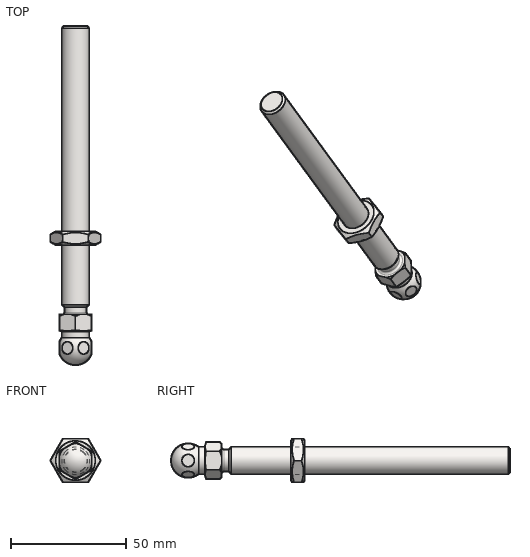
import cadquery as cq
import math


ball_radius = 7.5
wrench_size = 14.0

overall_length = 147.0
rod_radius = 12.0 / 2
groove_radius = 9.7 / 2
rod_tip_radius = 10.11 / 2
hex_start = 7.1
hex_length = 7.4
root_fillet = 1.0
runout_start = 17.6
runout_length = rod_radius - groove_radius
rod_chamfer = rod_radius - rod_tip_radius
hex_end = hex_start + hex_length
rod_end = overall_length - ball_radius

nut_size = 19.0
nut_height = 6.0
nut_start = 44.52

ball_side_face = (rod_radius, 18.0)
groove_side_face = (7.25, 45.0)
nut_face = (0.9 * nut_size / 2, 30.0)

corners_on_x = 0
corners_on_z = 30


def hex_corner_radius(across_flats):
    return across_flats / math.sqrt(3)


def hex_bar(across_flats, start, length, turn):
    """Hexagonal bar along +Y; turn is its rotation about Y in degrees."""
    bar = (
        cq.Workplane("XZ", origin=(0, start, 0))
        .polygon(6, 2 * hex_corner_radius(across_flats))
        .extrude(-length)
    )
    return bar.rotate((0, 0, 0), (0, 1, 0), turn)


def turned(profile):
    """Solid of revolution about Y from an open profile whose ends lie on the axis."""
    return profile.close().revolve(360, (0, 0, 0), (0, 1, 0))


def chamfered_hex(across_flats, start, length, turn, start_face, end_face):
    """Hexagonal bar with its corners turned off by a cone at each end."""
    corner = hex_corner_radius(across_flats)
    start_radius, start_angle = start_face
    end_radius, end_angle = end_face
    start_drop = (corner - start_radius) * math.tan(math.radians(start_angle))
    end_drop = (corner - end_radius) * math.tan(math.radians(end_angle))
    end = start + length
    outline = cq.Workplane("XY").polyline([
        (0, start),
        (start_radius, start),
        (corner, start + start_drop),
        (corner, end - end_drop),
        (end_radius, end),
        (0, end),
    ])
    envelope = turned(outline)
    return hex_bar(across_flats, start, length, turn).intersect(envelope)


def make_ball():
    """Ball with six flats in line with the stud hexagon."""
    outline = (
        cq.Workplane("XY")
        .moveTo(0, -ball_radius)
        .threePointArc((ball_radius, 0), (0, ball_radius))
    )
    return turned(outline).intersect(hex_bar(wrench_size, -ball_radius, 2 * ball_radius, corners_on_z))


def make_stud():
    """Rod, groove and neck turned in one piece with the hexagon and the ball."""
    fillet_middle = root_fillet * (1 - math.sqrt(0.5))
    outline = (
        cq.Workplane("XY")
        .lineTo(rod_radius, 0)
        .lineTo(rod_radius, hex_end)
        .lineTo(groove_radius + root_fillet, hex_end)
        .threePointArc(
            (groove_radius + fillet_middle, hex_end + fillet_middle),
            (groove_radius, hex_end + root_fillet),
        )
        .lineTo(groove_radius, runout_start)
        .lineTo(rod_radius, runout_start + runout_length)
        .lineTo(rod_radius, rod_end - rod_chamfer)
        .lineTo(rod_tip_radius, rod_end)
        .lineTo(0, rod_end)
    )
    grip = chamfered_hex(wrench_size, hex_start, hex_length, corners_on_z, ball_side_face, groove_side_face)
    return turned(outline).union(grip).union(make_ball())


def make_lock_nut():
    """Thin hexagon nut bored to fit the rod."""
    blank = chamfered_hex(nut_size, nut_start, nut_height, corners_on_x, nut_face, nut_face)
    bore = cq.Workplane("XZ", origin=(0, nut_start, 0)).circle(rod_radius).extrude(-nut_height)
    return blank.cut(bore)


stud = make_stud()
lock_nut = make_lock_nut()

result = cq.Compound.makeCompound([stud.val(), lock_nut.val()])